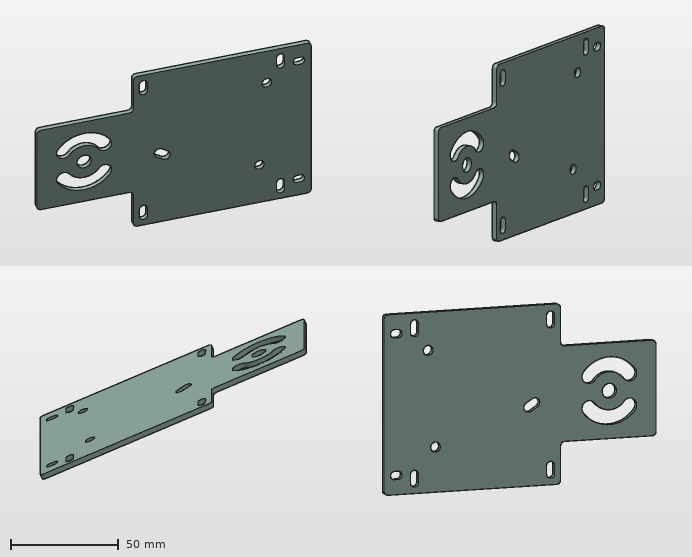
import cadquery as cq
import math

THICKNESS = 2.5
LENGTH = 134.0
HEIGHT = 85.0
BODY_LENGTH = 87.0
TAB_HEIGHT = 45.0
CORNER_RADIUS = 2.0

BODY_END_Y = LENGTH / 2
TAB_END_Y = -LENGTH / 2
SHOULDER_Y = BODY_END_Y - BODY_LENGTH

SLOT_WIDTH = 3.9
TALL_SLOT_LENGTH = 7.9
TALL_SLOT_Z = 35.4
TALL_SLOT_FAR_INSET = 15.0
TALL_SLOT_NEAR_INSET = 5.0
FLAT_SLOT_LENGTH = 5.6
FLAT_SLOT_INSET = 6.0
FLAT_SLOT_Z = 33.4

HOLE_DIAMETER = 4.7
UPPER_HOLE = (45.3, 24.5)
LOWER_HOLE = (41.7, -21.2)
SLANTED_SLOT_CENTER = (-5.8, -4.3)
SLANTED_SLOT_LENGTH = 8.3
SLANTED_SLOT_ANGLE = -32.0

PIVOT_Y = -44.0
PIVOT_DIAMETER = 7.0
ARC_SLOT_INNER_RADIUS = 9.0
ARC_SLOT_OUTER_RADIUS = 16.0
ARC_SLOT_END_ANGLE = 37.0


def yz_plane(y=0.0, z=0.0):
    """Workplane on the plate's -X face, with local axes Y and Z."""
    return cq.Workplane("YZ", origin=(-THICKNESS / 2, y, z))


def make_blank():
    """Wide body with a narrower tab, all eight corners rounded."""
    half_height = HEIGHT / 2
    half_tab = TAB_HEIGHT / 2
    outline = [
        (BODY_END_Y, half_height),
        (SHOULDER_Y, half_height),
        (SHOULDER_Y, half_tab),
        (TAB_END_Y, half_tab),
        (TAB_END_Y, -half_tab),
        (SHOULDER_Y, -half_tab),
        (SHOULDER_Y, -half_height),
        (BODY_END_Y, -half_height),
    ]
    blank = yz_plane().polyline(outline).close().extrude(THICKNESS)
    return blank.edges("|X").fillet(CORNER_RADIUS)


def round_cutter(center, diameter):
    return yz_plane(*center).circle(diameter / 2).extrude(THICKNESS)


def slot_cutter(center, length, width, angle):
    """Straight round-ended slot; length is overall, angle is from +Y."""
    return yz_plane(*center).slot2D(length, width, angle).extrude(THICKNESS)


def arc_slot_cutter(side):
    """Round-ended slot curved about the pivot, above it (side 1) or below it (side -1)."""
    middle_radius = (ARC_SLOT_INNER_RADIUS + ARC_SLOT_OUTER_RADIUS) / 2
    tip_radius = ARC_SLOT_OUTER_RADIUS - middle_radius
    angle = math.radians(ARC_SLOT_END_ANGLE)
    cos_end = math.cos(angle)
    sin_end = math.sin(angle)

    outer_end = (ARC_SLOT_OUTER_RADIUS * cos_end, side * ARC_SLOT_OUTER_RADIUS * sin_end)
    inner_end = (ARC_SLOT_INNER_RADIUS * cos_end, side * ARC_SLOT_INNER_RADIUS * sin_end)
    tip = (
        middle_radius * cos_end + tip_radius * sin_end,
        side * (middle_radius * sin_end - tip_radius * cos_end),
    )
    profile = (
        yz_plane(PIVOT_Y, 0)
        .moveTo(*outer_end)
        .threePointArc((0, side * ARC_SLOT_OUTER_RADIUS), (-outer_end[0], outer_end[1]))
        .threePointArc((-tip[0], tip[1]), (-inner_end[0], inner_end[1]))
        .threePointArc((0, side * ARC_SLOT_INNER_RADIUS), inner_end)
        .threePointArc(tip, outer_end)
        .close()
    )
    return profile.extrude(THICKNESS)


def make_plate():
    plate = make_blank()

    for side in (1, -1):
        for y in (BODY_END_Y - TALL_SLOT_FAR_INSET, SHOULDER_Y + TALL_SLOT_NEAR_INSET):
            plate = plate.cut(slot_cutter((y, side * TALL_SLOT_Z), TALL_SLOT_LENGTH, SLOT_WIDTH, 90))
        flat_center = (BODY_END_Y - FLAT_SLOT_INSET, side * FLAT_SLOT_Z)
        plate = plate.cut(slot_cutter(flat_center, FLAT_SLOT_LENGTH, SLOT_WIDTH, 0))

    for center in (UPPER_HOLE, LOWER_HOLE):
        plate = plate.cut(round_cutter(center, HOLE_DIAMETER))
    plate = plate.cut(
        slot_cutter(SLANTED_SLOT_CENTER, SLANTED_SLOT_LENGTH, HOLE_DIAMETER, SLANTED_SLOT_ANGLE)
    )

    plate = plate.cut(round_cutter((PIVOT_Y, 0), PIVOT_DIAMETER))
    for side in (1, -1):
        plate = plate.cut(arc_slot_cutter(side))
    return plate


plate = make_plate()

result = cq.Compound.makeCompound([plate.val()])